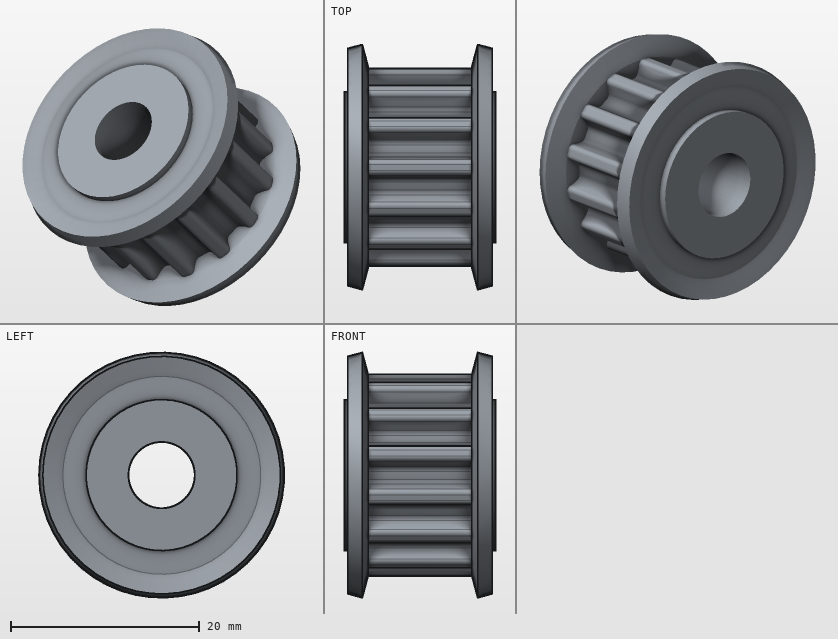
import cadquery as cq
import math


total_width = 16.0
bore_diameter = 7.0
hub_diameter = 16.0

tooth_count = 14
tip_radius = 10.7
root_radius = 8.88
belt_width = 11.0
tooth_pitch = 360.0 / tooth_count
tip_land_angle = 3.4
floor_half_width = 0.43
tip_round_radius = 0.54
tip_round_slope = 70.0
floor_fillet_radius = 0.6
floor_fillet_slope = 50.0

flange_diameter = 26.0
flange_thickness = 1.6
dish_angle = 15.0


def polar(radius, angle):
    """Point at a radius, with the angle in degrees measured from the vertical."""
    return (radius * math.sin(math.radians(angle)), radius * math.cos(math.radians(angle)))


def arc_point(center, radius, angle):
    """Point on an arc, with the angle in degrees measured from the vertical."""
    du, dv = polar(radius, angle)
    return (center[0] + du, center[1] + dv)


def half_groove_points():
    """Arc points of half a tooth groove centred on the vertical, from tip land to floor."""
    tip_angle = (tooth_pitch - tip_land_angle) / 2
    floor_angle = math.degrees(math.asin(floor_half_width / root_radius))

    tip_center = polar(tip_radius - tip_round_radius, tip_angle)
    tip_start = polar(tip_radius, tip_angle)
    tip_middle = arc_point(tip_center, tip_round_radius, (tip_angle - tip_round_slope) / 2)
    flank_start = arc_point(tip_center, tip_round_radius, -tip_round_slope)

    fillet_center = polar(root_radius + floor_fillet_radius, floor_angle)
    fillet_end_angle = 180 - floor_fillet_slope
    fillet_start_angle = 180 + floor_angle
    flank_end = arc_point(fillet_center, floor_fillet_radius, fillet_end_angle)
    fillet_middle_angle = (fillet_start_angle + fillet_end_angle) / 2
    fillet_middle = arc_point(fillet_center, floor_fillet_radius, fillet_middle_angle)
    floor_edge = polar(root_radius, floor_angle)

    du = flank_end[0] - flank_start[0]
    dv = flank_end[1] - flank_start[1]
    bulge = math.tan(math.radians(tip_round_slope - floor_fillet_slope) / 4) / 2
    flank_middle = (
        (flank_start[0] + flank_end[0]) / 2 - dv * bulge,
        (flank_start[1] + flank_end[1]) / 2 + du * bulge,
    )
    return [tip_start, tip_middle, flank_start, flank_middle, flank_end, fillet_middle, floor_edge]


def rotate(point, angle):
    """Point turned about the origin, counterclockwise, by an angle in degrees."""
    c = math.cos(math.radians(angle))
    s = math.sin(math.radians(angle))
    return (point[0] * c - point[1] * s, point[0] * s + point[1] * c)


def make_toothed_rim():
    """Toothed body between the flanges, extruded along X."""
    right_half = half_groove_points()
    left_half = [(-u, v) for u, v in reversed(right_half)]
    tip_middle = polar(tip_radius, -tooth_pitch / 2)
    groove = right_half + [(0, root_radius)] + left_half + [tip_middle]

    first_groove_turn = -90
    outline = cq.Workplane("YZ", origin=(-belt_width / 2, 0, 0))
    outline = outline.moveTo(*rotate(groove[0], first_groove_turn))
    for index in range(tooth_count):
        turned = [rotate(point, index * tooth_pitch + first_groove_turn) for point in groove]
        turned.append(rotate(groove[0], (index + 1) * tooth_pitch + first_groove_turn))
        for middle, end in zip(turned[1::2], turned[2::2]):
            outline = outline.threePointArc(middle, end)
    return outline.close().extrude(belt_width)


def make_flange():
    """Flange on the +X side, revolved about the X axis."""
    inner_face = belt_width / 2
    outer_face = inner_face + flange_thickness
    inner_bend_radius = tip_radius
    dish = math.radians(dish_angle)
    outer_bend_radius = inner_bend_radius - flange_thickness * math.tan(dish / 2)
    rim_radius = flange_diameter / 2
    rim_inner_x = inner_face + (rim_radius - inner_bend_radius) * math.tan(dish)
    rim_outer_x = rim_inner_x + flange_thickness * math.cos(dish)
    rim_outer_radius = rim_radius - flange_thickness * math.sin(dish)
    return (
        cq.Workplane("XY")
        .moveTo(inner_face, 0)
        .lineTo(inner_face, inner_bend_radius)
        .lineTo(rim_inner_x, rim_radius)
        .lineTo(rim_outer_x, rim_outer_radius)
        .lineTo(outer_face, outer_bend_radius)
        .lineTo(outer_face, 0)
        .close()
        .revolve(360, (0, 0, 0), (1, 0, 0))
    )


def make_cylinder(diameter):
    """Full-width cylinder about the X axis."""
    return cq.Workplane("YZ").circle(diameter / 2).extrude(total_width / 2, both=True)


flange = make_flange()
result = (
    make_toothed_rim()
    .union(flange)
    .union(flange.mirror("YZ"))
    .union(make_cylinder(hub_diameter))
    .cut(make_cylinder(bore_diameter))
)